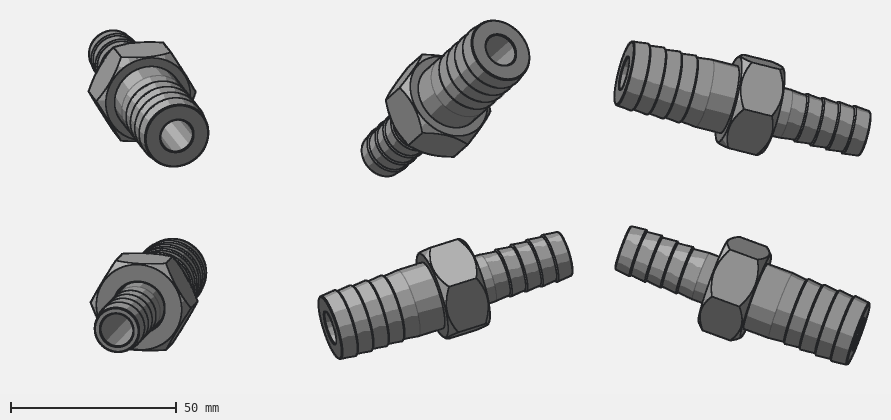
import cadquery as cq
import math

TOTAL_LENGTH = 76.0
HEX_START = 29.25
HEX_END = 42.9
BARB_COUNT = 5
BARB_PITCH = 5.0
BARB_STEP = 0.45

BORE_DIAMETER = 10.0
SMALL_DIAMETER = 15.0
LARGE_DIAMETER = 21.0
BARB_DEPTH = 0.5

TIP_BEVEL = 0.3

HEX_ACROSS_FLATS = 27.0
HEX_HOLE_DIAMETER = 15.5
HEX_HOLE_CHAMFER = 0.3
HEX_ACROSS_CORNERS = HEX_ACROSS_FLATS / math.cos(math.pi / 6)
HEX_FACE_DIAMETER = 26.45
HEX_CHAMFER = (HEX_ACROSS_CORNERS - HEX_FACE_DIAMETER) / 2


def hose_tail(length, outer_diameter):
    """Barbed tube about X, with its tip at X = 0 and its plain end at X = length."""
    bore_radius = BORE_DIAMETER / 2
    crest_radius = outer_diameter / 2
    root_radius = crest_radius - BARB_DEPTH

    points = [
        (TIP_BEVEL, bore_radius),
        (0, bore_radius + TIP_BEVEL),
        (0, root_radius - TIP_BEVEL),
        (TIP_BEVEL, root_radius),
    ]
    for barb in range(1, BARB_COUNT):
        root_x = barb * BARB_PITCH + TIP_BEVEL
        points.append((root_x - BARB_STEP, crest_radius))
        points.append((root_x, root_radius))
    points.append((BARB_COUNT * BARB_PITCH, crest_radius))
    points.append((length, crest_radius))
    points.append((length, bore_radius))

    return cq.Workplane("XY").polyline(points).close().revolve(360, (0, 0, 0), (1, 0, 0))


def hex_body():
    """Hexagon with corners along Y, chamfered ends and a through hole for the small tail."""
    width = HEX_END - HEX_START
    prism = (
        cq.Workplane("YZ", origin=(HEX_START, 0, 0))
        .polygon(6, HEX_ACROSS_CORNERS)
        .extrude(width)
    )
    chamfer_envelope = (
        cq.Workplane("YZ", origin=(HEX_START, 0, 0))
        .circle(HEX_ACROSS_CORNERS / 2)
        .extrude(width)
        .edges()
        .chamfer(HEX_CHAMFER)
    )
    return (
        prism.intersect(chamfer_envelope)
        .faces("<X")
        .workplane(origin=(HEX_START, 0, 0))
        .hole(HEX_HOLE_DIAMETER)
        .faces("<X")
        .edges(cq.selectors.RadiusNthSelector(0))
        .chamfer(HEX_HOLE_CHAMFER)
    )


hexagon = hex_body()
small_tail = hose_tail(HEX_END, SMALL_DIAMETER)
large_tail = (
    hose_tail(TOTAL_LENGTH - HEX_END, LARGE_DIAMETER)
    .rotate((0, 0, 0), (0, 0, 1), 180)
    .translate((TOTAL_LENGTH, 0, 0))
)

result = cq.Compound.makeCompound([hexagon.val(), small_tail.val(), large_tail.val()])